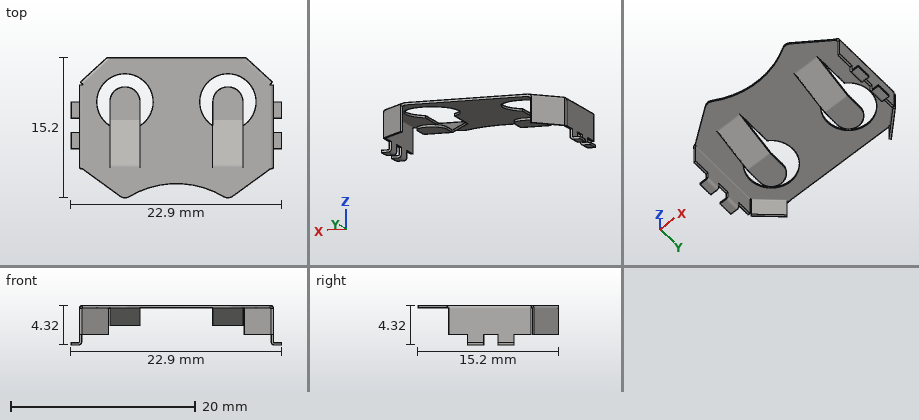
import math

import cadquery as cq


overall_width = 22.86
overall_depth = 15.24
overall_height = 4.318
sheet = 0.27
bend_inner = 0.09
bend_outer = bend_inner + sheet
wall_depth = 3.175
mitre = math.sqrt(0.5)

top_z = overall_height
plate_bottom_z = top_z - sheet
bend_end_z = top_z - bend_outer
wall_bottom_z = top_z - wall_depth
back_y = overall_depth / 2
front_y = -overall_depth / 2

plate_half_width = 10.18
back_edge_half_width = 7.0
corner_y = 4.70
tip_x = 5.588
tip_radius = 0.889
tip_center_y = front_y + tip_radius
front_slope_angle = math.radians(36)
front_arc_apex_y = -6.08

wall_back_y = 4.64
wall_front_y = -4.315
foot_width = 1.778
foot_center_ys = (1.905, -1.397)

tongue_x = tip_x
tongue_width = 3.302
hole_y = 2.794
hole_radius = 3.048
tongue_root_y = -4.30
tongue_crease_y = 0.826
tongue_drop = 1.94
root_bend_inner = 0.483
root_bend_outer = root_bend_inner + sheet

slope_sin = math.sin(front_slope_angle)
slope_cos = math.cos(front_slope_angle)
slope_end_x = tip_x + tip_radius * slope_sin
slope_end_y = tip_center_y - tip_radius * slope_cos
plate_side_front_y = slope_end_y + (plate_half_width - slope_end_x) * slope_sin / slope_cos

apex_rise = tip_center_y - front_arc_apex_y
front_arc_radius = (tip_x**2 + apex_rise**2 - tip_radius**2) / (2 * (tip_radius - apex_rise))
front_arc_center_y = front_arc_apex_y - front_arc_radius
arc_share = front_arc_radius / (front_arc_radius + tip_radius)
arc_end_x = tip_x * arc_share
arc_end_y = front_arc_center_y + (tip_center_y - front_arc_center_y) * arc_share


def make_plate():
    """Flat top plate with two rounded front tips and a concave front edge."""
    outline = (
        cq.Workplane("XY", origin=(0, 0, plate_bottom_z))
        .moveTo(-back_edge_half_width, back_y)
        .lineTo(-plate_half_width, corner_y)
        .lineTo(-plate_half_width, plate_side_front_y)
        .lineTo(-slope_end_x, slope_end_y)
        .threePointArc((-tip_x, front_y), (-arc_end_x, arc_end_y))
        .threePointArc((0, front_arc_apex_y), (arc_end_x, arc_end_y))
        .threePointArc((tip_x, front_y), (slope_end_x, slope_end_y))
        .lineTo(plate_half_width, plate_side_front_y)
        .lineTo(plate_half_width, corner_y)
        .lineTo(back_edge_half_width, back_y)
        .close()
    )
    return outline.extrude(sheet)


def make_tongue_opening():
    """Round hole and the slot that the left tongue is bent out of."""
    base = cq.Workplane("XY", origin=(-tongue_x, 0, plate_bottom_z))
    hole = base.center(0, hole_y).circle(hole_radius).extrude(sheet)
    slot_length = hole_y - tongue_root_y
    slot = base.center(0, tongue_root_y + slot_length / 2).rect(tongue_width, slot_length).extrude(sheet)
    return hole.union(slot)


def make_tongue():
    """Left spring tongue: root bend, sloping leg and flat pad with a round end."""
    pad_top_z = top_z - tongue_drop
    pad_end_y = hole_y + tongue_width / 2
    root_center_z = top_z - root_bend_outer
    crease_center_z = pad_top_z + bend_inner

    run = tongue_crease_y - tongue_root_y
    rise = crease_center_z - root_center_z
    tangent_offset = root_bend_outer + bend_inner
    angle = math.asin(tangent_offset / math.hypot(run, rise)) - math.atan2(rise, run)

    def root_point(radius, turn):
        return (tongue_root_y + radius * math.sin(turn), root_center_z + radius * math.cos(turn))

    def crease_point(radius, turn):
        return (tongue_crease_y - radius * math.sin(turn), crease_center_z - radius * math.cos(turn))

    profile = (
        cq.Workplane("YZ", origin=(-tongue_x, 0, 0))
        .moveTo(tongue_root_y, top_z)
        .threePointArc(root_point(root_bend_outer, angle / 2), root_point(root_bend_outer, angle))
        .lineTo(*crease_point(bend_inner, angle))
        .threePointArc(crease_point(bend_inner, angle / 2), (tongue_crease_y, pad_top_z))
        .lineTo(pad_end_y, pad_top_z)
        .lineTo(pad_end_y, pad_top_z - sheet)
        .lineTo(tongue_crease_y, pad_top_z - sheet)
        .threePointArc(crease_point(bend_outer, angle / 2), crease_point(bend_outer, angle))
        .lineTo(*root_point(root_bend_inner, angle))
        .threePointArc(root_point(root_bend_inner, angle / 2), (tongue_root_y, plate_bottom_z))
        .close()
    )
    strip = profile.extrude(tongue_width / 2, both=True)
    base = cq.Workplane("XY", origin=(-tongue_x, 0, 0))
    round_end = base.center(0, hole_y).circle(tongue_width / 2).extrude(top_z)
    leg_length = hole_y - tongue_root_y
    leg = base.center(0, tongue_root_y + leg_length / 2).rect(tongue_width, leg_length).extrude(top_z)
    return strip.intersect(leg.union(round_end))


def make_side_wall():
    """Left wall with its top bend and two outward feet."""
    edge = -plate_half_width
    outer = edge - bend_outer
    inner = edge - bend_inner
    foot_bend_x = outer - bend_inner
    foot_end = -overall_width / 2
    section = (
        cq.Workplane("XZ", origin=(0, corner_y, 0))
        .moveTo(edge, top_z)
        .threePointArc((edge - bend_outer * mitre, bend_end_z + bend_outer * mitre), (outer, bend_end_z))
        .lineTo(outer, bend_outer)
        .threePointArc(
            (foot_bend_x + bend_inner * mitre, bend_outer - bend_inner * mitre),
            (foot_bend_x, sheet),
        )
        .lineTo(foot_end, sheet)
        .lineTo(foot_end, 0)
        .lineTo(foot_bend_x, 0)
        .threePointArc(
            (foot_bend_x + bend_outer * mitre, bend_outer - bend_outer * mitre),
            (inner, bend_outer),
        )
        .lineTo(inner, bend_end_z)
        .threePointArc(
            (edge - bend_inner * mitre, bend_end_z + bend_inner * mitre),
            (edge, plate_bottom_z),
        )
        .close()
    )
    strip = section.extrude(corner_y - plate_side_front_y)

    silhouette = (
        cq.Workplane("YZ")
        .moveTo(wall_back_y, top_z)
        .lineTo(plate_side_front_y, top_z)
        .lineTo(wall_front_y, bend_end_z)
        .lineTo(wall_front_y, wall_bottom_z)
        .lineTo(wall_back_y, wall_bottom_z)
        .close()
        .extrude(-overall_width)
    )
    for foot_y in foot_center_ys:
        foot = cq.Workplane("YZ").center(foot_y, wall_bottom_z / 2).rect(foot_width, wall_bottom_z)
        silhouette = silhouette.union(foot.extrude(-overall_width))
    return strip.intersect(silhouette)


def make_corner_flap():
    """Flap bent down along the slanted back-left corner; its bend is flush with the back edge."""
    along_x = plate_half_width - back_edge_half_width
    along_y = back_y - corner_y
    flap_length = math.hypot(along_x, along_y)
    section_plane = cq.Plane(
        origin=(-plate_half_width, corner_y, 0),
        xDir=(-along_y, along_x, 0),
        normal=(along_x, along_y, 0),
    )
    bend = (
        cq.Workplane(section_plane)
        .moveTo(0, top_z)
        .threePointArc((bend_outer * mitre, bend_end_z + bend_outer * mitre), (bend_outer, bend_end_z))
        .lineTo(bend_inner, bend_end_z)
        .threePointArc((bend_inner * mitre, bend_end_z + bend_inner * mitre), (0, plate_bottom_z))
        .close()
        .extrude(flap_length)
    )
    trim = cq.Workplane("XY").box(overall_width, overall_depth, top_z, centered=(True, True, False))

    wall_length = flap_length - bend_outer * along_x / along_y
    wall = (
        cq.Workplane(section_plane)
        .moveTo(bend_inner, wall_bottom_z)
        .lineTo(bend_outer, wall_bottom_z)
        .lineTo(bend_outer, bend_end_z)
        .lineTo(bend_inner, bend_end_z)
        .close()
        .extrude(wall_length)
    )
    return bend.intersect(trim).union(wall)


def both_sides(left):
    """The left feature together with its mirror image on the right."""
    return left.union(left.mirror("YZ"))


result = make_plate().cut(both_sides(make_tongue_opening()))
for left_feature in (make_tongue(), make_side_wall(), make_corner_flap()):
    result = result.union(both_sides(left_feature))